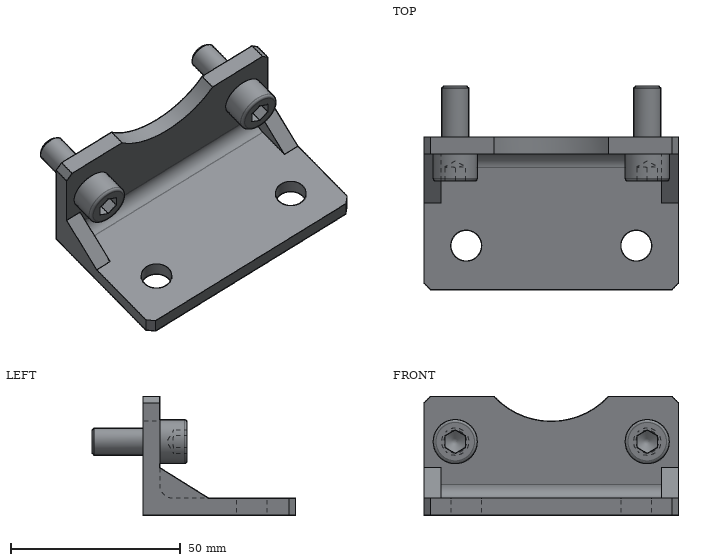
import cadquery as cq
import math

width = 75
height = 35.0
depth = 45
thickness = 5.0
corner_chamfer = 2.0
inner_fillet = 4.0

gusset_width = 5.0
gusset_rise = 9
gusset_run = 14.4

relief_width = 33.75
relief_depth = 7.35

hole_diameter = 9
hole_spacing = 50.0
hole_from_front = 13.0

screw_spacing = 56.5
screw_height = 21.7
shank_diameter = 8.0
shank_protrusion = 15
shank_chamfer = 0.7
head_diameter = 13.0
head_length = 8.0
head_fillet = 0.8
socket_across_flats = 6
socket_depth = 4.0
socket_tip_angle = 120

upright_front = depth - thickness


def make_bracket():
    """L-shaped bracket with a filleted inner corner and chamfered outer corners."""
    base = (
        cq.Workplane("XY")
        .box(width, depth, thickness, centered=(True, False, False))
        .edges("|Z and <Y")
        .chamfer(corner_chamfer)
    )
    upright = (
        cq.Workplane("XY")
        .box(width, thickness, height, centered=(True, False, False))
        .edges("|Y and >Z")
        .chamfer(corner_chamfer)
        .translate((0, upright_front, 0))
    )
    inner_corner = cq.selectors.NearestToPointSelector((0, upright_front, thickness))
    return base.union(upright).edges(inner_corner).fillet(inner_fillet)


def make_gusset(left_side):
    """Triangular rib joining the base and the upright at one end."""
    return (
        cq.Workplane("YZ", origin=(left_side, 0, 0))
        .moveTo(upright_front, thickness)
        .lineTo(upright_front - gusset_run, thickness)
        .lineTo(upright_front, thickness + gusset_rise)
        .close()
        .extrude(gusset_width)
    )


def make_relief():
    """Cylindrical cutter whose arc crosses the top edge of the upright."""
    radius = ((relief_width / 2) ** 2 + relief_depth**2) / (2 * relief_depth)
    center_z = height - relief_depth + radius
    return cq.Workplane("XZ", origin=(0, depth, center_z)).circle(radius).extrude(thickness)


def make_socket(x, head_front):
    """Hexagonal socket, corners up and down, ending in a conical tip."""
    corner_diameter = socket_across_flats / math.cos(math.pi / 6)
    corner_radius = corner_diameter / 2
    tip_depth = corner_radius / math.tan(math.radians(socket_tip_angle / 2))
    total_depth = socket_depth + tip_depth
    hexagon = (
        cq.Workplane("XZ")
        .transformed(rotate=(0, 0, 90))
        .polygon(6, corner_diameter)
        .extrude(-total_depth)
    )
    pointed_bore = (
        cq.Workplane("XY")
        .lineTo(corner_radius, 0)
        .lineTo(corner_radius, socket_depth)
        .lineTo(0, total_depth)
        .close()
        .revolve(360, (0, 0, 0), (0, 1, 0))
    )
    return hexagon.intersect(pointed_bore).translate((x, head_front, screw_height))


def make_screw(x):
    """Cap screw pointing along +Y with its head seated on the upright."""
    head_front = upright_front - head_length
    head = (
        cq.Workplane("XZ", origin=(x, upright_front, screw_height))
        .circle(head_diameter / 2)
        .extrude(head_length)
        .faces("<Y")
        .edges()
        .fillet(head_fillet)
    )
    shank = (
        cq.Workplane("XZ", origin=(x, upright_front, screw_height))
        .circle(shank_diameter / 2)
        .extrude(-(thickness + shank_protrusion))
        .faces(">Y")
        .edges()
        .chamfer(shank_chamfer)
    )
    return head.union(shank).cut(make_socket(x, head_front))


result = make_bracket()
for gusset_left in (-width / 2, width / 2 - gusset_width):
    result = result.union(make_gusset(gusset_left))
result = result.cut(make_relief())

mounting_holes = (
    cq.Workplane("XY")
    .pushPoints([(-hole_spacing / 2, hole_from_front), (hole_spacing / 2, hole_from_front)])
    .circle(hole_diameter / 2)
    .extrude(thickness)
)
result = result.cut(mounting_holes)

for screw_x in (-screw_spacing / 2, screw_spacing / 2):
    result = result.union(make_screw(screw_x))